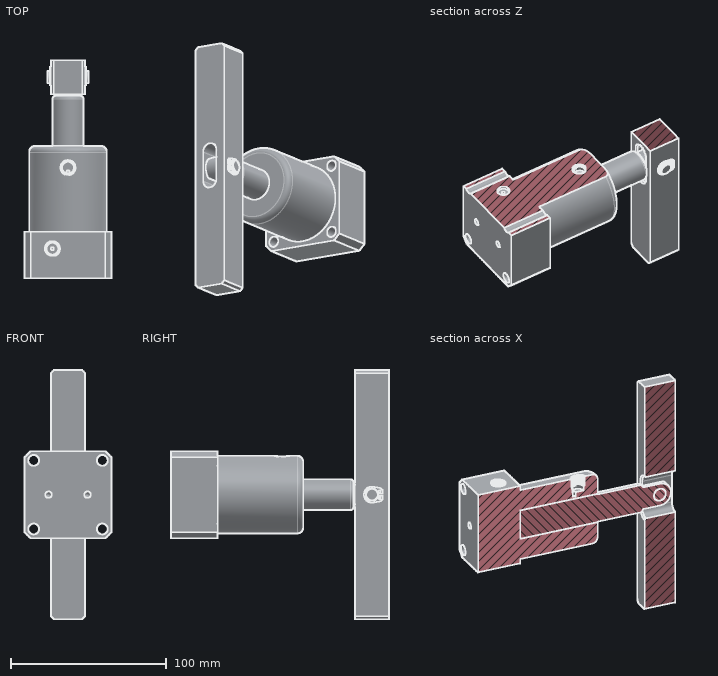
import cadquery as cq
import math


flange_side = 56.0
flange_depth = 30.0
flange_chamfer = 4.0
barrel_diameter = 50.0
barrel_end = 85.0
barrel_fillet = 4.0
mount_hole_diameter = 6.8
mount_hole_offset = 22.0
face_hole_diameter = 4.2
face_hole_offset = 12.5
face_hole_depth = 10.0
drill_point_angle = 118.0

port_core_diameter = 8.2
port_thread_depth = 0.8
port_thread_pitch = 0.907
port_taper_angle = 1.79
port_groove_width = 0.85
port_groove_overlap = 0.05
port_thread_turns = 8
port_runout_turns = 1
port_depth = 10.0
passage_diameter = 2.0
passage_depth = 3.0
flange_port_x = -10.0
flange_port_y = 19.0
barrel_port_y = 71.0
barrel_passage_shift = -2.7

arm_side = 22.0
arm_length = 160.0
arm_chamfer = 2.0
arm_front = 118.0
slot_width = 10.0
slot_length = 29.4
slot_chamfer = 1.0

rod_diameter = 20.0
rod_fillet = 2.0
rod_start = flange_depth
rod_shoulder = 117.1
lug_thickness = slot_width
lug_diameter = rod_diameter - 2 * rod_fillet
pin_y = arm_front + arm_side / 2

pin_diameter = 8.0
pin_length = 26.5
pin_chamfer = 0.3
clip_thickness = 0.8
clip_radius = 5.2
clip_ear_reach = 6.8
clip_ear_half_height = 4.2
clip_ear_corner = 1.2
clip_gap = 1.3
clip_hole_diameter = 1.5
clip_hole_y = 5.0
clip_hole_z = 2.1


def cylinder_along_y(diameter, start, end, x=0.0, z=0.0):
    """Cylinder parallel to Y between two Y positions."""
    base = cq.Vector(x, start, z)
    return cq.Workplane(cq.Solid.makeCylinder(diameter / 2, end - start, base, cq.Vector(0, 1, 0)))


def cylinder_along_x(diameter, length):
    """Cylinder centred on the pin position, parallel to X."""
    base = cq.Vector(-length / 2, pin_y, 0)
    return cq.Workplane(cq.Solid.makeCylinder(diameter / 2, length, base, cq.Vector(1, 0, 0)))


def drilled_hole(x):
    """Blind hole in the mounting face with a conical drill point."""
    radius = face_hole_diameter / 2
    point_depth = radius / math.tan(math.radians(drill_point_angle / 2))
    profile = [(0, 0), (radius, 0), (radius, face_hole_depth), (0, face_hole_depth + point_depth)]
    return cq.Workplane("XY").polyline(profile).close().revolve(360, (0, 0), (0, 1)).translate((x, 0, 0))


def threaded_port(x, y, top, passage_shift=0.0):
    """Port tool reaching down from `top`: tapered core hole, helical thread groove and feed passage."""

    def core_radius(z):
        return port_core_diameter / 2 + z * math.tan(math.radians(port_taper_angle))

    thread_bottom = -port_thread_turns * port_thread_pitch
    thread_height = (port_thread_turns + port_runout_turns) * port_thread_pitch
    groove_base = core_radius(thread_bottom) - port_groove_overlap
    groove_tip = core_radius(thread_bottom) + port_thread_depth
    half_groove = port_groove_width / 2
    helix = cq.Wire.makeHelix(port_thread_pitch, thread_height, groove_base, angle=port_taper_angle)
    groove = (
        cq.Workplane("XZ", origin=(0, 0, thread_bottom))
        .polyline([(groove_base, -half_groove), (groove_tip, 0), (groove_base, half_groove)])
        .close()
        .sweep(cq.Workplane(helix.translate(cq.Vector(0, 0, thread_bottom))), isFrenet=True)
    )
    clear_height = (port_runout_turns + 1) * port_thread_pitch
    core = cq.Workplane(
        cq.Solid.makeCone(
            core_radius(-port_depth),
            core_radius(clear_height),
            port_depth + clear_height,
            cq.Vector(0, 0, -port_depth),
        )
    )
    passage = (
        cq.Workplane("XY")
        .center(0, passage_shift)
        .circle(passage_diameter / 2)
        .extrude(-(port_depth + passage_depth))
    )
    threads = core.union(groove).rotate((0, 0, 0), (0, 0, 1), 180)
    return threads.union(passage).translate((x, y, top))


def make_housing():
    flange = (
        cq.Workplane("XY")
        .box(flange_side, flange_depth, flange_side)
        .edges("|Y")
        .chamfer(flange_chamfer)
        .translate((0, flange_depth / 2, 0))
    )
    barrel = cylinder_along_y(barrel_diameter, 0, barrel_end).faces(">Y").edges().fillet(barrel_fillet)
    housing = flange.union(barrel)
    for side_x in (-1, 1):
        for side_z in (-1, 1):
            hole_x = side_x * mount_hole_offset
            hole_z = side_z * mount_hole_offset
            housing = housing.cut(cylinder_along_y(mount_hole_diameter, 0, flange_depth, hole_x, hole_z))
        housing = housing.cut(drilled_hole(side_x * face_hole_offset))
    flange_port = threaded_port(flange_port_x, flange_port_y, flange_side / 2)
    barrel_port = threaded_port(0, barrel_port_y, barrel_diameter / 2, barrel_passage_shift)
    housing = housing.cut(flange_port).cut(barrel_port)
    return housing.cut(cylinder_along_y(rod_diameter, rod_start, barrel_end))


def make_rod():
    """Round rod whose end is a round neck with two flats, rounded off about the pin."""
    shaft = cylinder_along_y(rod_diameter, rod_start, rod_shoulder).faces(">Y").edges().fillet(rod_fillet)
    lug_radius = lug_diameter / 2
    lug = (
        cq.Workplane("YZ")
        .moveTo(rod_shoulder - rod_fillet, -lug_radius)
        .lineTo(pin_y, -lug_radius)
        .threePointArc((pin_y + lug_radius, 0), (pin_y, lug_radius))
        .lineTo(rod_shoulder - rod_fillet, lug_radius)
        .close()
        .extrude(lug_thickness / 2, both=True)
    )
    neck = cylinder_along_y(lug_diameter, rod_shoulder - rod_fillet, pin_y + lug_radius)
    return shaft.union(lug.intersect(neck)).cut(cylinder_along_x(pin_diameter, pin_length))


def make_arm():
    arm = (
        cq.Workplane("XY")
        .box(arm_side, arm_side, arm_length)
        .faces("<Z or >Z")
        .edges("|Y")
        .chamfer(arm_chamfer)
        .translate((0, pin_y, 0))
    )
    slot = (
        cq.Workplane("XZ", origin=(0, arm_front, 0))
        .slot2D(slot_length, slot_width, 90)
        .extrude(-arm_side)
    )
    arm = arm.cut(slot)
    mouth = cq.selectors.BoxSelector(
        (-slot_width, arm_front - slot_chamfer, -slot_length),
        (slot_width, arm_front + slot_chamfer, slot_length),
    )
    arm = arm.edges(mouth).chamfer(slot_chamfer)
    return arm.cut(cylinder_along_x(pin_diameter, pin_length))


def make_pin():
    return cylinder_along_x(pin_diameter, pin_length).edges("%CIRCLE").chamfer(pin_chamfer)


def make_clip(low_x):
    """Retaining clip around the pin, with two eared ends toward +Y; `low_x` is its lowest X."""
    plane = cq.Workplane("YZ", origin=(low_x, pin_y, 0))
    ring = plane.circle(clip_radius).extrude(clip_thickness)
    ear_profile = [
        (0, -clip_radius),
        (clip_ear_reach - clip_ear_corner, -clip_ear_half_height),
        (clip_ear_reach, -clip_ear_half_height + clip_ear_corner),
        (clip_ear_reach, clip_ear_half_height - clip_ear_corner),
        (clip_ear_reach - clip_ear_corner, clip_ear_half_height),
        (0, clip_radius),
    ]
    ears = plane.polyline(ear_profile).close().extrude(clip_thickness)
    gap = plane.center(clip_ear_reach / 2, 0).rect(clip_ear_reach, clip_gap).extrude(clip_thickness)
    holes = (
        plane.pushPoints([(clip_hole_y, -clip_hole_z), (clip_hole_y, clip_hole_z)])
        .circle(clip_hole_diameter / 2)
        .extrude(clip_thickness)
    )
    bore = plane.circle(pin_diameter / 2).extrude(clip_thickness)
    return ring.union(ears).cut(gap).cut(holes).cut(bore)


housing = make_housing()
rod = make_rod()
arm = make_arm()
pin = make_pin()
clips = [make_clip(low_x) for low_x in (-arm_side / 2 - clip_thickness, arm_side / 2)]

result = cq.Compound.makeCompound(
    [housing.val(), rod.val(), arm.val(), pin.val(), *[clip.val() for clip in clips]]
)